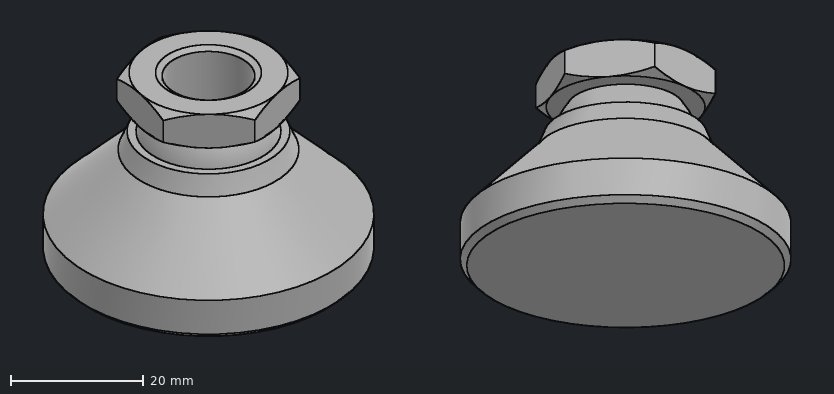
import cadquery as cq
import math

foot_radius = 25.0
base_chamfer = 1.0
rim_top = 7.0
collar_bottom = 18.35
collar_bottom_radius = 13.65
collar_top = 21.6
collar_top_radius = 12.3

ball_radius = 11.25
ball_center_height = 19.0
hex_across_flats = 24.0
hex_height = 6.0
hex_top = 32.0
hex_bottom = hex_top - hex_height
hex_corner_radius = hex_across_flats / math.sqrt(3)
hex_chamfer_angle = 30.0

bore_radius = 7.0
countersink_radius = 8.0
countersink_slope = 30.0
countersink_depth = (countersink_radius - bore_radius) * math.tan(math.radians(countersink_slope))
bore_depth = 13.0
drill_point_angle = 118.0


def make_ball():
    return cq.Workplane("XY").sphere(ball_radius).translate((0, 0, ball_center_height))


def make_foot():
    """Turned profile, less the socket in which the ball sits."""
    body = (
        cq.Workplane("XZ")
        .lineTo(foot_radius - base_chamfer, 0)
        .lineTo(foot_radius, base_chamfer)
        .lineTo(foot_radius, rim_top)
        .lineTo(collar_bottom_radius, collar_bottom)
        .lineTo(collar_top_radius, collar_top)
        .lineTo(0, collar_top)
        .close()
        .revolve(360, (0, 0, 0), (0, 1, 0))
    )
    return body.cut(make_ball())


def make_hex_head():
    """Hexagon with flats facing +X and -X, its corners turned off at both ends."""
    flat_radius = hex_across_flats / 2
    corner_drop = (hex_corner_radius - flat_radius) * math.tan(math.radians(hex_chamfer_angle))
    hexagon = (
        cq.Workplane("XY", origin=(0, 0, hex_bottom))
        .transformed(rotate=(0, 0, 90))
        .polygon(6, 2 * hex_corner_radius)
        .extrude(hex_height)
    )
    turned_envelope = (
        cq.Workplane("XZ")
        .moveTo(0, hex_bottom)
        .lineTo(flat_radius, hex_bottom)
        .lineTo(hex_corner_radius, hex_bottom + corner_drop)
        .lineTo(hex_corner_radius, hex_top - corner_drop)
        .lineTo(flat_radius, hex_top)
        .lineTo(0, hex_top)
        .close()
        .revolve(360, (0, 0, 0), (0, 1, 0))
    )
    return hexagon.intersect(turned_envelope)


def make_bore():
    """Solid that fills the blind bore, from countersink to drill point."""
    bore_bottom = hex_top - bore_depth
    point_depth = bore_radius / math.tan(math.radians(drill_point_angle / 2))
    return (
        cq.Workplane("XZ")
        .moveTo(0, hex_top)
        .lineTo(countersink_radius, hex_top)
        .lineTo(bore_radius, hex_top - countersink_depth)
        .lineTo(bore_radius, bore_bottom)
        .lineTo(0, bore_bottom - point_depth)
        .close()
        .revolve(360, (0, 0, 0), (0, 1, 0))
    )


def make_ball_nut():
    return make_ball().union(make_hex_head()).cut(make_bore())


foot = make_foot()
ball_nut = make_ball_nut()
result = cq.Compound.makeCompound([foot.val(), ball_nut.val()])